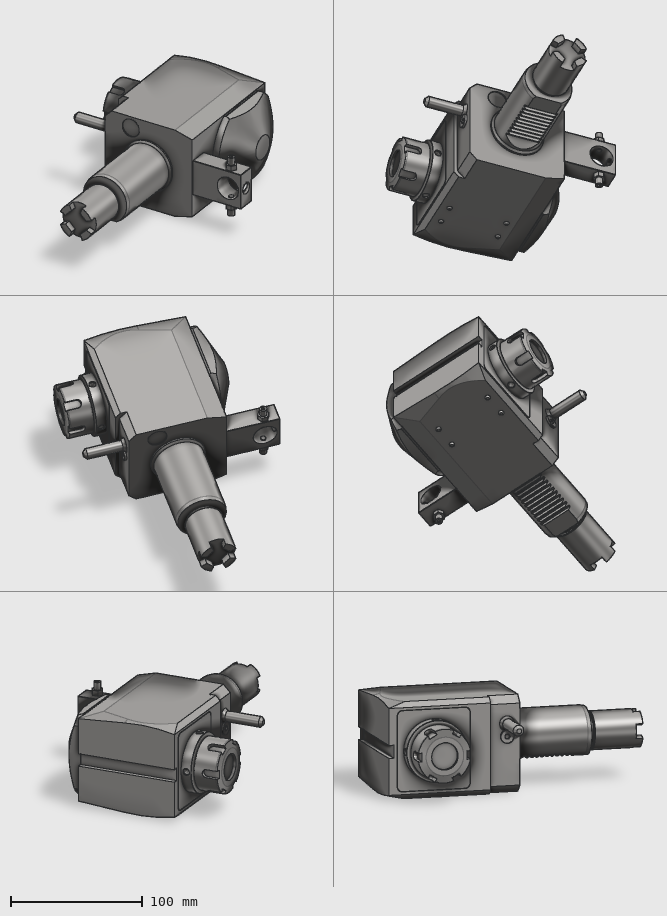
import cadquery as cq
import math


BODY_LEFT = -42.0
BODY_RIGHT = 39.0
BODY_BACK = 105.0
BODY_HALF_HEIGHT = 37.5
BODY_CHAMFER = 4.0
STEP_LEFT = -38.8
STEP_LENGTH = 24.1
STEP_CHAMFER = 5.9
SLOPE_START = 23.7
SLOPE_ANGLE = 15.0
CROWN_RISE = 0.23
CROWN_LENGTH = 25.2
CROWN_END_DROP = 1.3
CROWN_ARC_END = 0.0
CROWN_BULGE = 0.2
NOTCH_WIDTH = 10.0
NOTCH_DEPTH = 4.0
PLUG_X = -16.0
PLUG_Z = 27.7
PLUG_RADIUS = 7.5
PLUG_DEPTH = 1.0
RIVET_XS = (-30.2, 16.5)
RIVET_YS = (60.9, 77.9)
RIVET_RADIUS = 2.0
RIVET_TIP_RADIUS = 1.0
RIVET_HEIGHT = 1.5
PANEL_WIDTH = 58.0
PANEL_HEIGHT = 63.0
PANEL_CORNER = 4.2
PANEL_GROOVE = 0.2

SPINDLE_Y = 69.3
FLANGE_RADIUS = 24.0
FLANGE_LEFT = -50.4
FLANGE_EDGE = 0.2
FLANGE_HOLE_X = -46.2
FLANGE_HOLE_RADIUS = 2.7
FLANGE_HOLE_DEPTH = 4.2
NUT_NECK_RADIUS = 17.8
NUT_RIGHT = -51.5
NUT_RADIUS = 21.0
NUT_RIM_X = -69.7
NUT_RIM_RADIUS = 20.8
NUT_SHOULDER_X = -70.7
NUT_LEFT = -71.8
NUT_FACE_RADIUS = 15.0
NUT_BORE_RADIUS = 10.5
NUT_BORE_DEPTH = 2.5
NUT_SLOT_COUNT = 6
NUT_SLOT_WIDTH = 6.5
NUT_SLOT_END = -58.3
NUT_SLOT_FLOOR = 17.8

COVER_RADIUS = 40.3
COVER_RIM_X = 44.7
COVER_TIP_RADIUS = 10.0
COVER_TIP_X = 59.2
COVER_BACK = 100.5
COVER_GROOVE_WIDTH = 1.7
COVER_GROOVE_DEPTH = 0.8

COLLAR_RADIUS = 21.6
COLLAR_LENGTH = 2.3
COLLAR_TAPER = 0.8
SHANK_RADIUS = 20.0
SHANK_END = -62.7
SHANK_BEVEL = 0.6
SHANK_BEVEL_LENGTH = 3.1
NECK_RADIUS = 12.2
DRIVE_START = -66.3
DRIVE_RADIUS = 15.0
DRIVE_EDGE = 0.6
DRIVE_END = -99.5
DOG_END = -105.0
DOG_INNER = 9.2
DOG_COUNT = 4
DOG_ANGLE = 45.0
SHANK_FLAT_Z = -16.4
FLAT_START = -9.2
RAMP_START = -5.0
RACK_ROOT_Z = -14.5
RACK_PITCH = 4.0
RACK_TOOTH_COUNT = 10
RACK_TIP_WIDTH = 0.8
RACK_ROOT_WIDTH = 1.3

PIN_Y = 10.3
PIN_Z = 16.4
PIN_RADIUS = 4.2
PIN_TIP = 2.3
PIN_COLLAR_RADIUS = 5.9
PIN_COLLAR_LENGTH = 2.5
SCREW_Z = 6.5
SCREW_RADIUS = 5.2
SCREW_HEIGHT = 1.7
SCREW_SOCKET = 4.2
SOCKET_DEPTH = 1.7

ARM_RIGHT = 81.8
ARM_FRONT = 1.3
ARM_BACK = 16.5
ARM_HALF_HEIGHT = 15.0
ARM_EDGE = 0.31
ARM_HOLE_X = 70.0
ARM_HOLE_RADIUS = 9.5
ARM_SCREW_Y = 6.3
ARM_SCREW_RADIUS = 2.7
ARM_SCREW_POINT = 0.8
ARM_SCREW_INNER = 9.0
ARM_SCREW_TIP = 25.2
ARM_SCREW_SOCKET = 3.0
ARM_NUT_CORNERS = 9.0
ARM_NUT_HEIGHT = 4.2
SIDE_HOLE_RADIUS = 4.8

SLOPE = math.tan(math.radians(SLOPE_ANGLE))
CORNER_Z = BODY_HALF_HEIGHT - SLOPE * (BODY_RIGHT - SLOPE_START)


def along_y(x, y, z):
    """Workplane at a point, facing -Y, with X to the right and Z up."""
    return cq.Workplane("XZ", origin=(x, y, z))


def along_x(x, y, z):
    """Workplane at a point, facing +X, with Y to the right and Z up."""
    return cq.Workplane("YZ", origin=(x, y, z))


def housing_prism(left, chamfer, right, start, end):
    """Housing section from Y = start to end: chamfered left corners, sloped right ends."""
    top = BODY_HALF_HEIGHT
    right_z = top - SLOPE * (right - SLOPE_START)
    upper = [(left, top - chamfer), (left + chamfer, top), (SLOPE_START, top), (right, right_z)]
    lower = [(x, -z) for x, z in reversed(upper)]
    return along_y(0, end, 0).polyline(upper + lower).close().extrude(end - start)


def crown_cutter():
    """Oblique prism that leaves the rear of the top face crowned."""
    arc_end_z = BODY_HALF_HEIGHT - CROWN_END_DROP
    clearance = 2 * BODY_HALF_HEIGHT
    profile = (
        along_y(0, BODY_BACK, 0)
        .moveTo(BODY_LEFT, BODY_HALF_HEIGHT - BODY_CHAMFER)
        .threePointArc((BODY_LEFT / 2, arc_end_z + CROWN_BULGE), (CROWN_ARC_END, arc_end_z))
        .lineTo(BODY_RIGHT, CORNER_Z)
        .lineTo(BODY_RIGHT, clearance)
        .lineTo(BODY_LEFT, clearance)
        .close()
    )
    face = cq.Face.makeFromWires(profile.wires().val())
    direction = cq.Vector(0, -CROWN_LENGTH, CROWN_LENGTH * CROWN_RISE)
    return cq.Workplane(cq.Solid.extrudeLinear(face, direction))


def panel_groove():
    """Fine groove outlining the panel around the spindle."""
    outer = along_x(BODY_LEFT, SPINDLE_Y, 0).rect(PANEL_WIDTH, PANEL_HEIGHT)
    outer = outer.extrude(PANEL_GROOVE).edges("|X").fillet(PANEL_CORNER)
    inner = along_x(BODY_LEFT, SPINDLE_Y, 0)
    inner = inner.rect(PANEL_WIDTH - 2 * PANEL_GROOVE, PANEL_HEIGHT - 2 * PANEL_GROOVE)
    inner = inner.extrude(PANEL_GROOVE).edges("|X").fillet(PANEL_CORNER - PANEL_GROOVE)
    return outer.cut(inner)


def make_housing():
    body = housing_prism(BODY_LEFT, BODY_CHAMFER, BODY_RIGHT, STEP_LENGTH, BODY_BACK)
    body = body.union(housing_prism(STEP_LEFT, STEP_CHAMFER, BODY_RIGHT, 0, STEP_LENGTH))
    crown = crown_cutter()
    body = body.cut(crown).cut(crown.mirror("XY"))
    notch = along_x(BODY_LEFT, BODY_BACK, 0).rect(2 * NOTCH_DEPTH, NOTCH_WIDTH)
    body = body.cut(notch.extrude(BODY_RIGHT - BODY_LEFT))
    body = body.cut(along_y(PLUG_X, PLUG_DEPTH, PLUG_Z).circle(PLUG_RADIUS).extrude(PLUG_DEPTH))
    body = body.cut(panel_groove())
    for x in RIVET_XS:
        for y in RIVET_YS:
            base = cq.Vector(x, y, -BODY_HALF_HEIGHT)
            rivet = cq.Solid.makeCone(
                RIVET_RADIUS, RIVET_TIP_RADIUS, RIVET_HEIGHT, base, cq.Vector(0, 0, -1)
            )
            body = body.union(cq.Workplane(rivet))
    return body


def revolve_about_spindle(points):
    """Revolve (X, radius) points about the spindle axis, which runs along X."""
    profile = cq.Workplane("XY", origin=(0, SPINDLE_Y, 0)).polyline(points).close()
    return profile.revolve(360, (0, 0, 0), (1, 0, 0))


def make_spindle():
    root = STEP_LEFT
    floor_x = NUT_LEFT + NUT_BORE_DEPTH
    spindle = revolve_about_spindle([
        (root, 0),
        (root, FLANGE_RADIUS),
        (FLANGE_LEFT + FLANGE_EDGE, FLANGE_RADIUS),
        (FLANGE_LEFT, FLANGE_RADIUS - FLANGE_EDGE),
        (FLANGE_LEFT, NUT_NECK_RADIUS),
        (NUT_RIGHT, NUT_NECK_RADIUS),
        (NUT_RIGHT, NUT_RADIUS),
        (NUT_RIM_X, NUT_RADIUS),
        (NUT_SHOULDER_X, NUT_RIM_RADIUS),
        (NUT_LEFT, NUT_FACE_RADIUS),
        (NUT_LEFT, NUT_BORE_RADIUS),
        (floor_x, NUT_BORE_RADIUS),
        (floor_x, 0),
    ])
    slot_round_x = NUT_SLOT_END - NUT_SLOT_WIDTH / 2
    slot = (
        cq.Workplane("XY", origin=(0, SPINDLE_Y, 0))
        .moveTo(NUT_LEFT, -NUT_SLOT_WIDTH / 2)
        .lineTo(slot_round_x, -NUT_SLOT_WIDTH / 2)
        .threePointArc((NUT_SLOT_END, 0), (slot_round_x, NUT_SLOT_WIDTH / 2))
        .lineTo(NUT_LEFT, NUT_SLOT_WIDTH / 2)
        .close()
        .extrude(NUT_RADIUS)
        .translate((0, 0, NUT_SLOT_FLOOR))
    )
    axis = ((0, SPINDLE_Y, 0), (1, SPINDLE_Y, 0))
    for i in range(NUT_SLOT_COUNT):
        spindle = spindle.cut(slot.rotate(*axis, 90 + i * 360 / NUT_SLOT_COUNT))
    hole_floor = FLANGE_RADIUS - FLANGE_HOLE_DEPTH
    hole = (
        cq.Workplane("XZ", origin=(FLANGE_HOLE_X, SPINDLE_Y, hole_floor))
        .polyline([
            (0, 0),
            (FLANGE_HOLE_RADIUS, FLANGE_HOLE_RADIUS),
            (FLANGE_HOLE_RADIUS, 2 * FLANGE_HOLE_DEPTH),
            (0, 2 * FLANGE_HOLE_DEPTH),
        ])
        .close()
        .revolve(360, (0, 0, 0), (0, 1, 0))
    )
    for angle in (0, 90, 180, 270):
        spindle = spindle.cut(hole.rotate(*axis, angle))
    return spindle


def make_cover():
    """Conical cover trimmed to the housing's sloped faces and at the back."""
    cover = revolve_about_spindle([
        (BODY_RIGHT, 0),
        (BODY_RIGHT, COVER_RADIUS),
        (COVER_RIM_X, COVER_RADIUS),
        (COVER_TIP_X, COVER_TIP_RADIUS),
        (COVER_TIP_X, 0),
    ])
    limits = housing_prism(BODY_LEFT, BODY_CHAMFER, COVER_TIP_X, 0, COVER_BACK)
    cover = cover.intersect(limits)
    groove = cq.Workplane("XY", origin=(BODY_RIGHT, SPINDLE_Y, CORNER_Z - COVER_GROOVE_DEPTH))
    groove = groove.rect(2 * COVER_GROOVE_WIDTH, 2 * COVER_RADIUS).extrude(2 * COVER_GROOVE_DEPTH)
    return cover.cut(groove).cut(groove.mirror("XY"))


def shank_flat_cutter():
    """Flat along the underside of the shank, with a ramp at one end and a toothed rack."""
    below = -2 * SHANK_RADIUS
    rack_end = FLAT_START - RACK_PITCH * RACK_TOOTH_COUNT
    points = [(SHANK_END, below), (SHANK_END, SHANK_FLAT_Z), (rack_end, SHANK_FLAT_Z)]
    flank = (RACK_PITCH - RACK_TIP_WIDTH - RACK_ROOT_WIDTH) / 2
    for i in range(RACK_TOOTH_COUNT):
        tooth_y = rack_end + i * RACK_PITCH
        root_y = tooth_y + flank
        points.append((root_y, RACK_ROOT_Z))
        points.append((root_y + RACK_ROOT_WIDTH, RACK_ROOT_Z))
        if i < RACK_TOOTH_COUNT - 1:
            points.append((root_y + RACK_ROOT_WIDTH + flank, SHANK_FLAT_Z))
            points.append((tooth_y + RACK_PITCH, SHANK_FLAT_Z))
    points.append((RAMP_START, -SHANK_RADIUS))
    points.append((RAMP_START, below))
    width = 2 * SHANK_RADIUS
    return along_x(-width / 2, 0, 0).polyline(points).close().extrude(width)


def dog_gap_cutter():
    """Everything around the drive dogs: each dog has radial flanks and a flat inner face."""
    length = DRIVE_END - DOG_END
    reach = 2 * DRIVE_RADIUS
    spread = math.tan(math.radians(DOG_ANGLE / 2))
    outline = [
        (DOG_INNER, -DOG_INNER * spread),
        (reach, -reach * spread),
        (reach, reach * spread),
        (DOG_INNER, DOG_INNER * spread),
    ]
    dog = along_y(0, DRIVE_END, 0).polyline(outline).close().extrude(length)
    gap = along_y(0, DRIVE_END, 0).circle(DRIVE_RADIUS + DRIVE_EDGE).extrude(length)
    for i in range(DOG_COUNT):
        gap = gap.cut(dog.rotate((0, 0, 0), (0, 1, 0), (i + 0.5) * 360 / DOG_COUNT))
    return gap


def make_shank():
    points = [
        (0, 0),
        (COLLAR_RADIUS, 0),
        (COLLAR_RADIUS, -COLLAR_LENGTH + COLLAR_TAPER),
        (SHANK_RADIUS, -COLLAR_LENGTH - COLLAR_TAPER),
        (SHANK_RADIUS, SHANK_END + SHANK_BEVEL_LENGTH),
        (SHANK_RADIUS - SHANK_BEVEL, SHANK_END),
        (NECK_RADIUS, SHANK_END),
        (NECK_RADIUS, DRIVE_START),
        (DRIVE_RADIUS - DRIVE_EDGE, DRIVE_START),
        (DRIVE_RADIUS, DRIVE_START - DRIVE_EDGE),
        (DRIVE_RADIUS, DOG_END),
        (0, DOG_END),
    ]
    shank = cq.Workplane("XY").polyline(points).close().revolve(360, (0, 0, 0), (0, 1, 0))
    return shank.cut(shank_flat_cutter()).cut(dog_gap_cutter())


def make_pin_and_screw():
    """Long pin and low socket screw standing on the stepped left face."""
    root = STEP_LEFT
    points = [
        (root, 0),
        (root, PIN_COLLAR_RADIUS),
        (root - PIN_COLLAR_LENGTH, PIN_RADIUS),
        (NUT_LEFT + PIN_TIP, PIN_RADIUS),
        (NUT_LEFT, PIN_RADIUS - PIN_TIP),
        (NUT_LEFT, 0),
    ]
    pin = cq.Workplane("XY", origin=(0, PIN_Y, PIN_Z)).polyline(points).close()
    pin = pin.revolve(360, (0, 0, 0), (1, 0, 0))
    screw = along_x(root - SCREW_HEIGHT, PIN_Y, SCREW_Z)
    socket = screw.polygon(6, SCREW_SOCKET).extrude(SOCKET_DEPTH)
    return pin.union(screw.circle(SCREW_RADIUS).extrude(SCREW_HEIGHT).cut(socket))


def clamp_screw():
    """Upper clamping screw of the arm with its lock nut."""
    rod = cq.Workplane("XY", origin=(ARM_HOLE_X, ARM_SCREW_Y, ARM_SCREW_INNER))
    rod = rod.circle(ARM_SCREW_RADIUS).extrude(ARM_SCREW_TIP - ARM_SCREW_INNER)
    rod = rod.faces("<Z").chamfer(ARM_SCREW_POINT)
    nut = cq.Workplane("XY", origin=(ARM_HOLE_X, ARM_SCREW_Y, ARM_HALF_HEIGHT))
    nut = nut.polygon(6, ARM_NUT_CORNERS).extrude(ARM_NUT_HEIGHT)
    socket = cq.Workplane("XY", origin=(ARM_HOLE_X, ARM_SCREW_Y, ARM_SCREW_TIP - SOCKET_DEPTH))
    return rod.union(nut).cut(socket.polygon(6, ARM_SCREW_SOCKET).extrude(SOCKET_DEPTH))


def make_arm():
    length = ARM_RIGHT - BODY_RIGHT
    depth = ARM_BACK - ARM_FRONT
    middle_y = (ARM_BACK + ARM_FRONT) / 2
    arm = along_x(BODY_RIGHT, middle_y, 0).rect(depth, 2 * ARM_HALF_HEIGHT).extrude(length)
    arm = arm.faces(">X or >Y or >Z or <Z").edges("not <X").chamfer(ARM_EDGE)
    arm = arm.cut(along_y(ARM_HOLE_X, ARM_BACK, 0).circle(ARM_HOLE_RADIUS).extrude(depth))
    side_hole = along_x(ARM_HOLE_X, middle_y, 0).circle(SIDE_HOLE_RADIUS)
    arm = arm.cut(side_hole.extrude(ARM_RIGHT - ARM_HOLE_X))
    screw = clamp_screw()
    return arm.union(screw).union(screw.mirror("XY"))


result = make_housing()
for part in (make_spindle(), make_cover(), make_shank(), make_pin_and_screw(), make_arm()):
    result = result.union(part)